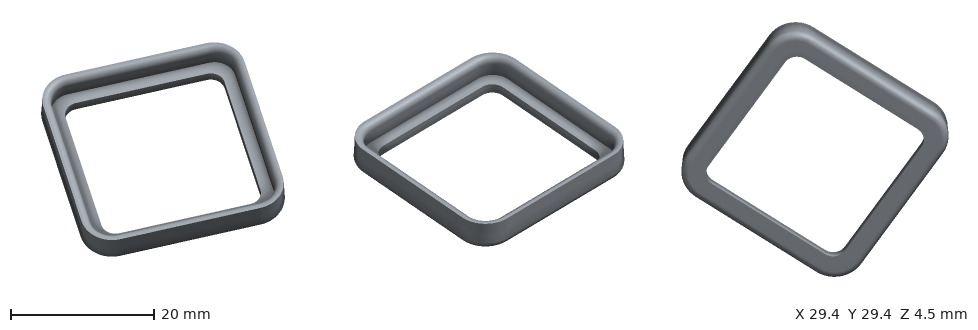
import cadquery as cq
import math

base_width = 29.5
height = 4.5
outer_corner_radius = 4.6
draft_angle = 2.5
bottom_edge_radius = 1.0

recess_width = 26.5
recess_corner_radius = 3.0
recess_lip_radius = 1.0
floor_thickness = 1.5
recess_depth = height - floor_thickness

window_width = 23.0
window_corner_radius = 2.0

top_width = base_width - 2 * height * math.tan(math.radians(draft_angle))


def rounded_prism(width, corner_radius, start_z, depth, taper=0):
    """Rounded square centred on Z, extruded upward and narrowing by the taper angle."""
    profile = cq.Sketch().rect(width, width).vertices().fillet(corner_radius)
    return cq.Workplane("XY", origin=(0, 0, start_z)).placeSketch(profile).extrude(depth, taper=taper)


def make_outer_body():
    """Drafted block with a rounded bottom edge."""
    block = rounded_prism(base_width, outer_corner_radius, 0, height, draft_angle)
    return block.faces("<Z").edges().fillet(bottom_edge_radius)


def cut_recess(body):
    """Straight-walled recess with its top edge rounded outward."""
    recess = rounded_prism(recess_width, recess_corner_radius, floor_thickness, recess_depth)

    reach = (recess_width + top_width) / 4
    below_rim = height - recess_depth / 2
    above_rim = height + recess_depth / 2
    lip_edges = cq.selectors.BoxSelector(
        (-reach, -reach, below_rim),
        (reach, reach, above_rim),
        boundingbox=True,
    )
    return body.cut(recess).edges(lip_edges).fillet(recess_lip_radius)


def cut_window(body):
    """Rounded square window through the floor."""
    window = rounded_prism(window_width, window_corner_radius, 0, floor_thickness)
    return body.cut(window)


result = cut_window(cut_recess(make_outer_body()))